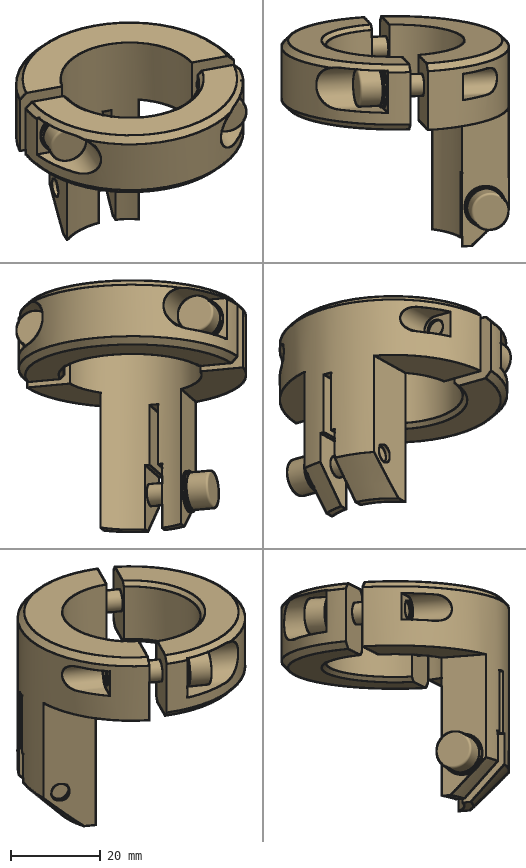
import cadquery as cq


outer_radius = 25.5
bore_radius = 15.5
ring_height = 15.0
outer_chamfer = 1.5
bore_chamfer = 1.0
split_gap = 4.0

total_height = 46.5
arm_front = -11.05
arm_back = 7.0
arm_chamfer = 8.0
narrow_slot_width = 2.0
narrow_slot_depth = 17.5
wide_slot_width = split_gap
wide_slot_depth = 31.5

screw_diameter = 5.0
screw_length = 17.5
head_diameter = 8.5
head_length = 5.0
head_fillet = 0.5
collar_diameter = 6.85
collar_length = 0.45
tip_hole_diameter = 4.2

washer_diameter = 9.3
washer_thickness = 0.5

screw_offset = 19.0
ring_screw_z = -6.0
arm_screw_z = -37.5
ring_seat = 7.0
head_pocket_radius = 4.8
tip_pocket_radius = 3.0
tip_pocket_face = -10.5

big = 2 * outer_radius


def box(x_range, y_range, z_range):
    """Box between the given limits."""
    sizes = [high - low for low, high in (x_range, y_range, z_range)]
    corner = (x_range[0], y_range[0], z_range[0])
    return cq.Workplane("XY").box(*sizes, centered=False).translate(corner)


def rod(diameter, start, end):
    """Cylinder on the X axis between two X positions."""
    return cq.Workplane("YZ", origin=(start, 0, 0)).circle(diameter / 2).extrude(end - start)


def at_ring_screw(shape, side):
    """Move a shape from the X axis to the ring screw on the given Y side."""
    return shape.translate((0, side * screw_offset, ring_screw_z))


def at_arm_screw(shape):
    """Turn a shape from the X axis to the Y direction and move it to the arm screw."""
    return shape.rotate((0, 0, 0), (0, 0, 1), 90).translate((-screw_offset, 0, arm_screw_z))


def screw(seat):
    """Screw on the X axis, head towards +X, clamping a washer that lies on the seat."""
    washer_top = seat + washer_thickness
    head_start = washer_top + collar_length
    head = rod(head_diameter, head_start, head_start + head_length)
    head = head.faces(">X").edges().fillet(head_fillet)
    collar = rod(collar_diameter, washer_top, head_start)
    shank = rod(screw_diameter, washer_top - screw_length, washer_top)
    return head.union(collar).union(shank)


def washer(seat):
    """Washer around the X axis, lying on the seat."""
    disc = rod(washer_diameter, seat, seat + washer_thickness)
    return disc.cut(rod(screw_diameter, seat, seat + washer_thickness))


def screw_hole(seat, open_face):
    """Hole on the X axis that fits the shank and narrows between its tip and the open face."""
    tip = seat + washer_thickness - screw_length
    return rod(screw_diameter, tip, seat).union(rod(tip_hole_diameter, open_face, tip))


def side_pocket(radius, face, direction, side):
    """Pocket round a ring screw, running outwards along X from a flat face and open along Y."""
    pocket = rod(2 * radius, face, direction * big)
    x_range = sorted((face, direction * big))
    y_range = sorted((0, side * big))
    pocket = pocket.union(box(x_range, y_range, (-radius, radius)))
    return at_ring_screw(pocket, side)


def make_plain_half():
    """The +X half of the ring, chamfered on all its round edges."""
    ring = cq.Workplane("XY").circle(outer_radius).extrude(-ring_height)
    ring = ring.edges().chamfer(outer_chamfer)
    bore = cq.Workplane("XY").circle(bore_radius).extrude(-ring_height)
    ring = ring.cut(bore)
    ring = ring.edges(cq.selectors.RadiusNthSelector(0)).chamfer(bore_chamfer)
    half = ring.intersect(box((split_gap / 2, big), (-big, big), (-ring_height, 0)))
    for side in (-1, 1):
        half = half.cut(side_pocket(head_pocket_radius, ring_seat, 1, side))
        half = half.cut(at_ring_screw(screw_hole(ring_seat, tip_pocket_face), side))
    return half


def make_arm_half():
    """The -X half of the ring with the split arm below it."""
    blank = cq.Workplane("XY").circle(outer_radius).extrude(-total_height)
    blank = blank.faces(">Z").edges().chamfer(outer_chamfer)
    blank = blank.faces("<Z").edges().chamfer(arm_chamfer)
    blank = blank.cut(cq.Workplane("XY").circle(bore_radius).extrude(-total_height))

    ring_zone = box((-big, -split_gap / 2), (-big, big), (-ring_height, 0))
    arm_zone = box((-big, -split_gap / 2), (arm_front, arm_back), (-total_height, 0))
    half = blank.intersect(ring_zone.union(arm_zone))

    for width, top in ((narrow_slot_width, narrow_slot_depth), (wide_slot_width, wide_slot_depth)):
        half = half.cut(box((-big, 0), (-width / 2, width / 2), (-total_height, -top)))

    for side in (-1, 1):
        half = half.cut(side_pocket(tip_pocket_radius, tip_pocket_face, -1, side))
        half = half.cut(at_ring_screw(screw_hole(ring_seat, tip_pocket_face), side))
    return half.cut(at_arm_screw(screw_hole(arm_back, arm_front)))


plain_half = make_plain_half()
arm_half = make_arm_half()

screws = [at_ring_screw(screw(ring_seat), side) for side in (-1, 1)]
screws.append(at_arm_screw(screw(arm_back)))

washers = [at_ring_screw(washer(ring_seat), side) for side in (-1, 1)]
washers.append(at_arm_screw(washer(arm_back)))

result = cq.Compound.makeCompound(
    [plain_half.val(), arm_half.val()]
    + [body.val() for body in screws]
    + [body.val() for body in washers]
)